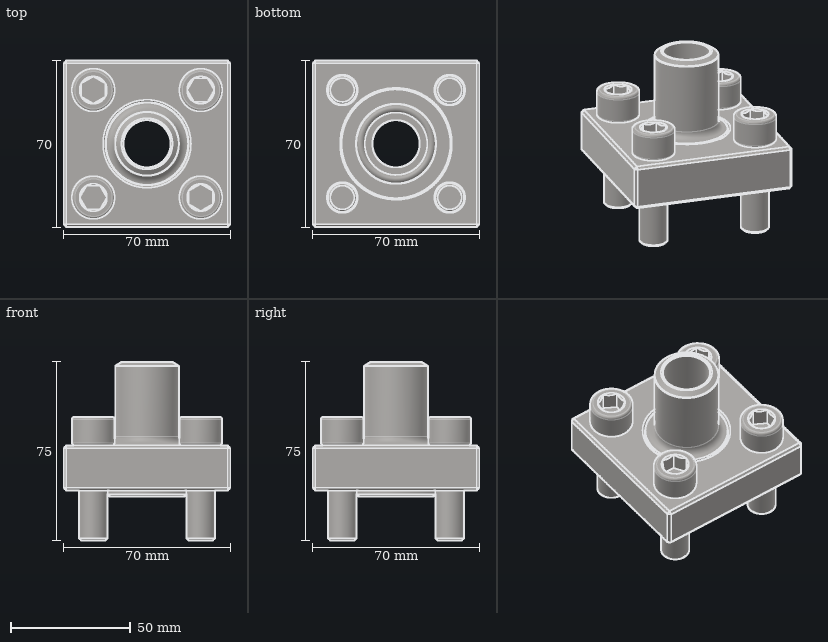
import cadquery as cq
import math

overall_height = 75
plate_bottom = 21
plate_top = 40.0

plate_width = 70.0
plate_chamfer = 1.1
bolt_circle_diameter = 63.8
screw_hole_diameter = 13.0
stem_hole_diameter = 35.0
stem_hole_chamfer = 1.0
collar_hole_diameter = 47.0

hub_bottom = 19.2
collar_top = 30
collar_diameter = 46.0
stem_diameter = 34.5
tube_diameter = 26.9
bore_diameter = 19.7
bore_end_diameter = 20.0
land_diameter = 21.5
bevel_height = 1.6
edge_break_height = 0.3

groove_outer_diameter = 33.75
ring_outer_diameter = 33.3
ring_section_diameter = 3.5
ring_bottom = 18.3

screw_count = 4
shank_diameter = 12
shank_chamfer = 1.0
head_diameter = 18
head_height = 12
head_fillet = 1.1
hex_across_flats = 10.0
hex_depth = 8.0

tube_radius = tube_diameter / 2
stem_radius = stem_diameter / 2
collar_radius = collar_diameter / 2
bore_radius = bore_diameter / 2
stem_fillet = stem_radius - tube_radius
land_radius = land_diameter / 2
bore_end_radius = bore_end_diameter / 2
edge_break_width = bore_end_radius - bore_radius
bevel_foot_radius = tube_radius - edge_break_width
bevel_foot = overall_height - bevel_height
ring_section_radius = ring_section_diameter / 2
ring_path_radius = ring_outer_diameter / 2 - ring_section_radius
ring_center_height = ring_bottom + ring_section_radius
groove_depth = ring_bottom + ring_section_diameter - hub_bottom
groove_inner_diameter = ring_outer_diameter - 2 * ring_section_diameter
hex_corner_diameter = hex_across_flats / math.cos(math.radians(30))


def cylinder(diameter, bottom, top):
    """Upright cylinder on the Z axis between two levels."""
    return cq.Workplane("XY").workplane(offset=bottom).circle(diameter / 2).extrude(top - bottom)


def make_plate():
    """Square plate with chamfered edges, a stepped center hole and four screw holes."""
    thickness = plate_top - plate_bottom
    plate = (
        cq.Workplane("XY")
        .workplane(offset=plate_bottom)
        .rect(plate_width, plate_width)
        .extrude(thickness)
        .edges()
        .chamfer(plate_chamfer)
    )
    plate = plate.cut(cylinder(collar_hole_diameter, plate_bottom, collar_top))
    plate = plate.cut(cylinder(stem_hole_diameter, plate_bottom, plate_top))
    plate = plate.faces(">Z").edges("%CIRCLE").chamfer(stem_hole_chamfer)
    screw_holes = (
        cq.Workplane("XY")
        .workplane(offset=plate_bottom)
        .polarArray(bolt_circle_diameter / 2, 45, 360, screw_count)
        .circle(screw_hole_diameter / 2)
        .extrude(thickness)
    )
    return plate.cut(screw_holes)


def make_hub():
    """Turned hub with a fillet from stem to tube, a weld bevel and a ring groove below.

    The collar's lower rim, the bevel foot and the bore mouth have small edge breaks.
    """
    arc_inset = stem_fillet * (1 - math.sqrt(0.5))
    hub = (
        cq.Workplane("XZ")
        .moveTo(bore_radius, hub_bottom)
        .lineTo(collar_radius - edge_break_width, hub_bottom)
        .lineTo(collar_radius, hub_bottom + edge_break_height)
        .lineTo(collar_radius, collar_top)
        .lineTo(stem_radius, collar_top)
        .lineTo(stem_radius, plate_top)
        .threePointArc(
            (tube_radius + arc_inset, plate_top + arc_inset),
            (tube_radius, plate_top + stem_fillet),
        )
        .lineTo(tube_radius, bevel_foot - edge_break_height)
        .lineTo(bevel_foot_radius, bevel_foot)
        .lineTo(land_radius, overall_height)
        .lineTo(bore_end_radius, overall_height)
        .lineTo(bore_radius, overall_height - edge_break_height)
        .close()
        .revolve(360, (0, 0, 0), (0, 1, 0))
    )
    groove = (
        cq.Workplane("XY")
        .workplane(offset=hub_bottom)
        .circle(groove_outer_diameter / 2)
        .circle(groove_inner_diameter / 2)
        .extrude(groove_depth)
    )
    return hub.cut(groove)


def make_seal_ring():
    """Round-section ring that stands out below the hub."""
    return (
        cq.Workplane("XZ")
        .center(ring_path_radius, ring_center_height)
        .circle(ring_section_radius)
        .revolve(360, (-ring_path_radius, 0, 0), (-ring_path_radius, 1, 0))
    )


def make_screw():
    """Socket head screw on the Z axis with its head resting on the plate."""
    head_top = plate_top + head_height
    shank = cylinder(shank_diameter, 0, plate_top).faces("<Z").chamfer(shank_chamfer)
    head = (
        cylinder(head_diameter, plate_top, head_top)
        .edges("%CIRCLE")
        .fillet(head_fillet)
    )
    socket = (
        cq.Workplane("XY")
        .workplane(offset=head_top - hex_depth)
        .polygon(6, hex_corner_diameter)
        .extrude(hex_depth)
    )
    corner_radius = hex_corner_diameter / 2
    countersink = cq.Workplane(
        cq.Solid.makeCone(0, corner_radius, corner_radius, cq.Vector(0, 0, head_top - corner_radius))
    )
    return head.union(shank).cut(socket).cut(countersink)


plate = make_plate()
hub = make_hub()
seal_ring = make_seal_ring()

screw_offset = bolt_circle_diameter / 2 * math.cos(math.radians(45))
screws = []
for index in range(screw_count):
    turn = index * 360 / screw_count
    screw = make_screw().translate((screw_offset, screw_offset, 0)).rotate((0, 0, 0), (0, 0, 1), turn)
    screws.append(screw.val())

result = cq.Compound.makeCompound([plate.val(), hub.val(), seal_ring.val(), *screws])